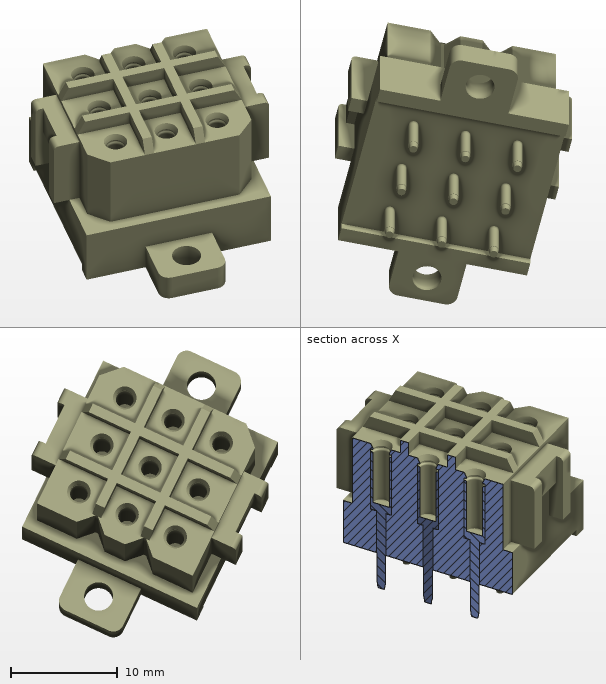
import cadquery as cq
import math

pitch = 5.0
grid_steps = (-1, 0, 1)
rib_steps = (-0.5, 0.5)

base_length = 17.65
base_width = 18.15
base_top = 5.53
foot_length = 1.4
foot_height = 0.75

lug_span = 27.5
lug_width = 6.55
lug_height = 2.55
lug_corner_radius = 1.02
lug_hole_spacing = 22.4
lug_hole_diameter = 2.72

tower_length = 15.35
tower_width = 16.17
tower_top = 12.92
tower_corner_chamfer = 1.73
notch_depth = 1.32
notch_floor = 0.25

rib_width = 0.9
rib_top = 14.33
rib_end_slope = 0.75
notch_end_height = 0.16

latch_length = 7.07
latch_span = 21.2
latch_top = 12.48
latch_arm_length = 1.48
latch_arm_radius = 0.5
latch_bar_span = 19.72
latch_bar_bottom = 9.52

mouth_diameter = 2.2
mouth_depth = 0.52
throat_diameter = 1.68
throat_depth = 0.65
socket_outer_diameter = 2.2
socket_inner_diameter = throat_diameter
socket_recess = 0.88
socket_top = tower_top - socket_recess
socket_bottom_thickness = 0.82
socket_floor = base_top + socket_bottom_thickness
socket_lip_radius = 0.2
pin_diameter = 1.0
pin_bottom = -3.15
pin_tip_height = 0.6
pin_tip_top_diameter = 0.9
pin_tip_end_diameter = 0.75


def block(length, width, bottom, top):
    """Block centred on the Z axis, between two heights."""
    return (
        cq.Workplane("XY")
        .workplane(offset=bottom)
        .rect(length, width)
        .extrude(top - bottom)
    )


def make_base():
    """Rectangular base, relieved underneath so that it stands on a foot at each end."""
    relief = block(base_length - 2 * foot_length, base_width, 0, foot_height)
    return block(base_length, base_width, 0, base_top).cut(relief)


def make_lugs():
    """Two rounded mounting lugs, one on each X end of the base, with a hole in each."""
    bar = block(lug_span, lug_width, 0, lug_height).edges("|Z").fillet(lug_corner_radius)
    holes = (
        cq.Workplane("XY")
        .pushPoints([(-lug_hole_spacing / 2, 0), (lug_hole_spacing / 2, 0)])
        .circle(lug_hole_diameter / 2)
        .extrude(lug_height)
    )
    between_lugs = block(base_length, lug_width, 0, lug_height)
    return bar.cut(holes).cut(between_lugs)


def make_tower():
    """Tower with two chamfered corners on +X and two keying notches on -X."""
    tower = block(tower_length, tower_width, base_top, tower_top)
    tower = tower.edges("|Z and >X").chamfer(tower_corner_chamfer)
    outer_x = -tower_length / 2
    inner_x = outer_x + notch_depth
    floor_half = notch_floor / 2
    mouth_half = floor_half + notch_depth
    for step in rib_steps:
        y = step * pitch
        notch = (
            cq.Workplane("XY")
            .workplane(offset=base_top)
            .polyline([
                (outer_x, y - mouth_half),
                (inner_x, y - floor_half),
                (inner_x, y + floor_half),
                (outer_x, y + mouth_half),
            ])
            .close()
            .extrude(tower_top - base_top)
        )
        tower = tower.cut(notch)
    return tower


def make_rib(plane, outline):
    """Rib with the given side outline, centred on the plane."""
    return cq.Workplane(plane).polyline(outline).close().extrude(rib_width / 2, both=True)


def make_ribs():
    """Two ribs along X and two along Y, crossing between the contacts, all with sloped ends."""
    notch_x = notch_depth - tower_length / 2
    x_outline = [
        (notch_x, tower_top),
        (tower_length / 2, tower_top),
        (tower_length / 2 - rib_end_slope, rib_top),
        (notch_x + rib_end_slope, rib_top),
        (notch_x, tower_top + notch_end_height),
    ]
    y_outline = [
        (-tower_width / 2, tower_top),
        (tower_width / 2, tower_top),
        (tower_width / 2 - rib_end_slope, rib_top),
        (rib_end_slope - tower_width / 2, rib_top),
    ]
    ribs = cq.Workplane("XY")
    for step in rib_steps:
        along_x = make_rib("XZ", x_outline).translate((0, step * pitch, 0))
        along_y = make_rib("YZ", y_outline).translate((step * pitch, 0, 0))
        ribs = ribs.add(along_x).add(along_y)
    return ribs.combine()


def make_latches():
    """Latch on each Y side: two upright arms joined by a crossbar over a solid web."""
    arm_gap = latch_length - 2 * latch_arm_length
    arms = block(latch_length, latch_span, base_top, latch_top)
    arms = arms.edges("|X and >Z").fillet(latch_arm_radius)
    arms = arms.cut(block(arm_gap, latch_span, base_top, latch_top))
    web = block(arm_gap, base_width, base_top, latch_top)
    crossbar = block(arm_gap, latch_bar_span, latch_bar_bottom, latch_top)
    return arms.union(web).union(crossbar)


def make_contact():
    """Contact on the Z axis: a socket open at the top, above a pin with a tapered tip."""
    tip_top = pin_bottom + pin_tip_height
    inner_radius = socket_inner_diameter / 2
    lip_centre_x = inner_radius + socket_lip_radius
    lip_centre_z = socket_top - socket_lip_radius
    lip_middle = (
        lip_centre_x - socket_lip_radius * math.cos(math.pi / 4),
        lip_centre_z + socket_lip_radius * math.sin(math.pi / 4),
    )
    return (
        cq.Workplane("XZ")
        .moveTo(0, pin_bottom)
        .lineTo(pin_tip_end_diameter / 2, pin_bottom)
        .lineTo(pin_tip_top_diameter / 2, tip_top)
        .lineTo(pin_diameter / 2, tip_top)
        .lineTo(pin_diameter / 2, base_top)
        .lineTo(socket_outer_diameter / 2, base_top)
        .lineTo(socket_outer_diameter / 2, socket_top)
        .lineTo(lip_centre_x, socket_top)
        .threePointArc(lip_middle, (inner_radius, lip_centre_z))
        .lineTo(inner_radius, socket_floor)
        .lineTo(0, socket_floor)
        .close()
        .revolve(360, (0, 0), (0, 1))
    )


def make_contact_hole():
    """Stepped hole that fits a contact, with a narrow throat and a conical mouth above it."""
    return (
        cq.Workplane("XZ")
        .polyline([
            (0, 0),
            (pin_diameter / 2, 0),
            (pin_diameter / 2, base_top),
            (socket_outer_diameter / 2, base_top),
            (socket_outer_diameter / 2, tower_top - throat_depth),
            (throat_diameter / 2, tower_top - throat_depth),
            (throat_diameter / 2, tower_top - mouth_depth),
            (mouth_diameter / 2, tower_top),
            (0, tower_top),
        ])
        .close()
        .revolve(360, (0, 0), (0, 1))
    )


contact_places = [(column * pitch, row * pitch, 0) for column in grid_steps for row in grid_steps]

housing = make_base().union(make_lugs()).union(make_tower()).union(make_latches()).union(make_ribs())
for place in contact_places:
    housing = housing.cut(make_contact_hole().translate(place))

contacts = [make_contact().translate(place) for place in contact_places]

result = cq.Compound.makeCompound([housing.val(), *[contact.val() for contact in contacts]])